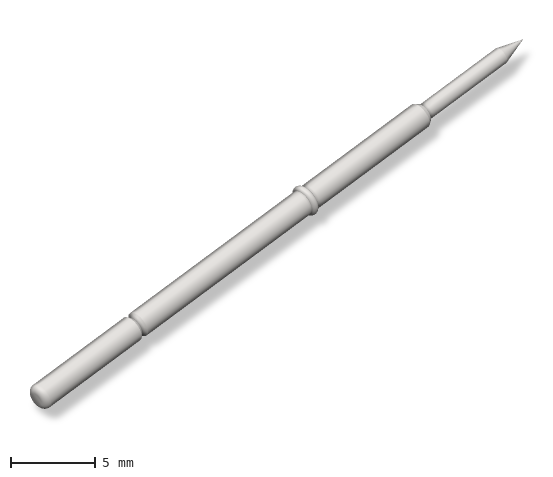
import cadquery as cq
import math


overall_length = 40.3
cone_length = 1.85
barrel_start = 8.3
collar_from_tip = 18.05
groove_from_tip = 32.15

plunger_diameter = 1.07
barrel_diameter = 1.65
collar_diameter = 2.0

mouth_chamfer_length = 0.25
mouth_chamfer_depth = 0.15
end_fillet = 0.4
collar_width = 0.5
groove_width = 0.5
groove_depth = 0.2

plunger_radius = plunger_diameter / 2
barrel_radius = barrel_diameter / 2

tip_y = collar_from_tip
cone_base_y = tip_y - cone_length
barrel_front_y = tip_y - barrel_start
barrel_back_y = tip_y - overall_length
groove_y = tip_y - groove_from_tip


def revolve_about_axis(profile):
    """Turn a closed half-profile (radius along X) fully around the Y axis."""
    return profile.revolve(360, (0, 0), (0, 1))


def make_plunger():
    """Round plunger with a sharp conical tip, ending at the barrel mouth."""
    profile = (
        cq.Workplane("XY")
        .moveTo(0, barrel_front_y)
        .lineTo(plunger_radius, barrel_front_y)
        .lineTo(plunger_radius, cone_base_y)
        .lineTo(0, tip_y)
        .close()
    )
    return revolve_about_axis(profile)


def make_barrel():
    """Cylinder with a chamfered mouth and a rounded closed end."""
    end_face_radius = barrel_radius - end_fillet
    arc_offset = end_fillet * math.sqrt(0.5)
    profile = (
        cq.Workplane("XY")
        .moveTo(0, barrel_back_y)
        .lineTo(end_face_radius, barrel_back_y)
        .threePointArc(
            (end_face_radius + arc_offset, barrel_back_y + end_fillet - arc_offset),
            (barrel_radius, barrel_back_y + end_fillet),
        )
        .lineTo(barrel_radius, barrel_front_y - mouth_chamfer_length)
        .lineTo(barrel_radius - mouth_chamfer_depth, barrel_front_y)
        .lineTo(0, barrel_front_y)
        .close()
    )
    return revolve_about_axis(profile)


def make_collar():
    """Press ring with a half-round rim."""
    half_width = collar_width / 2
    rim_centre = collar_diameter / 2 - half_width
    profile = (
        cq.Workplane("XY")
        .moveTo(0, -half_width)
        .lineTo(rim_centre, -half_width)
        .threePointArc((rim_centre + half_width, 0), (rim_centre, half_width))
        .lineTo(0, half_width)
        .close()
    )
    return revolve_about_axis(profile)


def make_groove_cutter():
    """Ring of V section that crimps the barrel."""
    half_width = groove_width / 2
    profile = (
        cq.Workplane("XY")
        .moveTo(barrel_radius, groove_y - half_width)
        .lineTo(barrel_radius - groove_depth, groove_y)
        .lineTo(barrel_radius, groove_y + half_width)
        .close()
    )
    return revolve_about_axis(profile)


result = make_barrel().union(make_plunger()).union(make_collar()).cut(make_groove_cutter())